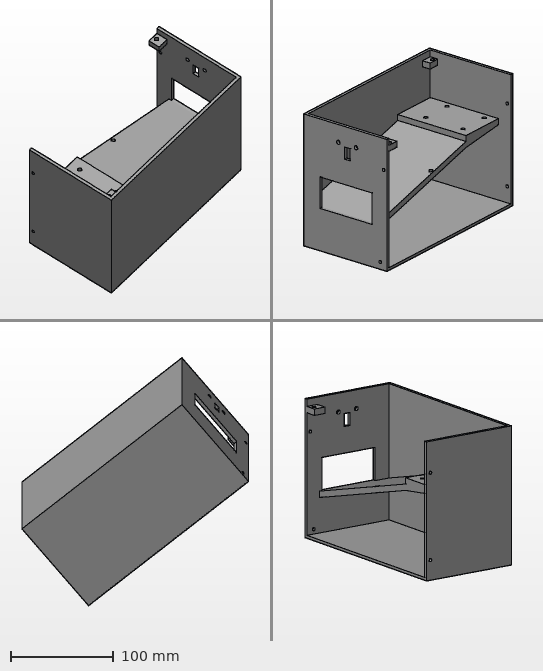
import cadquery as cq
import math

WIDTH = 102.2
LENGTH = 201.2
HEIGHT = 140.0
WALL = 3.5
FLOOR = 3.0
INNER_BACK = LENGTH - WALL
INNER_SIDE = WIDTH - WALL

SHELF_START = 15.0
PLATFORM_TOP = 89.5
PLATFORM_END = 55.3
STEP = 6.2
SHELF_THICKNESS = 6.5
RAMP_ANGLE = 15.0
RAMP_DROP = (INNER_BACK - PLATFORM_END) * math.tan(math.radians(RAMP_ANGLE))
RAMP_HIGH = PLATFORM_TOP - STEP
RAMP_LOW = RAMP_HIGH - RAMP_DROP

SCREW_DIAMETER = 4.0
PIN_DIAMETER = 3.0
PLATFORM_HOLE_X = (27.2, 72.8)
PLATFORM_HOLE_Y = (10.5, 44.3)
RAMP_HOLE_X = (18.5, 74.6)
RAMP_HOLE_Y = 107.0
FRONT_PINS = ((4.6, 108.2), (4.6, 20.3))
BACK_PINS = ((4.2, 106.6), (8.5, 7.8))
BACK_SCREWS = ((38.0, 121.1), (59.5, 121.1))

LUG_TOP = 132.8
LUG_HEIGHT = 6.5
LUG_LENGTH = 12.3
BACK_LUG_WIDTH = 12.7
FRONT_LUG_WIDTH = 9.3
BACK_LUG_HOLE = (4.2, 192.0)
FRONT_LUG_HOLE = (93.0, 7.5)

WINDOW_X = (18.3, 82.0)
WINDOW_Z = (RAMP_LOW, 78.5)
SLOT_X = (45.0, 51.7)
SLOT_Z = (105.5, 118.3)


def block(x_range, y_range, z_range):
    """Box spanning the given (low, high) ranges."""
    sizes = [high - low for low, high in (x_range, y_range, z_range)]
    corner = (x_range[0], y_range[0], z_range[0])
    return cq.Workplane("XY").box(*sizes, centered=False).translate(corner)


def wall_holes(wall_front, places, diameter):
    """Cutters through a front or back wall at the (x, z) places."""
    plane = cq.Workplane("XZ", origin=(0, wall_front, 0))
    return plane.pushPoints(places).circle(diameter / 2).extrude(-WALL)


def shell():
    outer = block((0, WIDTH), (0, LENGTH), (0, HEIGHT))
    inner = block((0, INNER_SIDE), (WALL, INNER_BACK), (FLOOR, HEIGHT))
    return outer.cut(inner)


def shelf():
    profile = [
        (WALL, PLATFORM_TOP),
        (PLATFORM_END, PLATFORM_TOP),
        (PLATFORM_END, RAMP_HIGH),
        (INNER_BACK, RAMP_LOW),
        (INNER_BACK, RAMP_LOW - SHELF_THICKNESS),
        (PLATFORM_END, RAMP_HIGH - SHELF_THICKNESS),
        (WALL, PLATFORM_TOP - SHELF_THICKNESS),
    ]
    plane = cq.Workplane("YZ", origin=(SHELF_START, 0, 0))
    body = plane.polyline(profile).close().extrude(INNER_SIDE - SHELF_START)

    places = [(x, y) for x in PLATFORM_HOLE_X for y in PLATFORM_HOLE_Y]
    upright = cq.Workplane("XY", origin=(0, 0, RAMP_LOW))
    body = body.cut(upright.pushPoints(places).circle(SCREW_DIAMETER / 2).extrude(HEIGHT - RAMP_LOW))

    slope = math.radians(RAMP_ANGLE)
    hole_z = RAMP_HIGH - (RAMP_HOLE_Y - PLATFORM_END) * math.tan(slope)
    ramp_plane = cq.Plane(
        origin=(0, RAMP_HOLE_Y, hole_z), xDir=(1, 0, 0), normal=(0, math.sin(slope), math.cos(slope))
    )
    ramp_places = [(x, 0) for x in RAMP_HOLE_X]
    square = cq.Workplane(ramp_plane).pushPoints(ramp_places).circle(SCREW_DIAMETER / 2)
    return body.cut(square.extrude(SHELF_THICKNESS, both=True))


def lug(x_range, y_range, hole_place):
    bottom = LUG_TOP - LUG_HEIGHT
    body = block(x_range, y_range, (bottom, LUG_TOP))
    bore = cq.Workplane("XY", origin=(*hole_place, bottom)).circle(SCREW_DIAMETER / 2).extrude(LUG_HEIGHT)
    return body.cut(bore)


back_lug = lug((0, BACK_LUG_WIDTH), (INNER_BACK - LUG_LENGTH, INNER_BACK), BACK_LUG_HOLE)
front_lug = lug((INNER_SIDE - FRONT_LUG_WIDTH, INNER_SIDE), (WALL, WALL + LUG_LENGTH), FRONT_LUG_HOLE)

result = shell().union(shelf()).union(back_lug).union(front_lug)

result = result.cut(wall_holes(0, FRONT_PINS, PIN_DIAMETER))
result = result.cut(wall_holes(INNER_BACK, BACK_PINS, PIN_DIAMETER))
result = result.cut(wall_holes(INNER_BACK, BACK_SCREWS, SCREW_DIAMETER))
result = result.cut(block(WINDOW_X, (INNER_BACK, LENGTH), WINDOW_Z))
result = result.cut(block(SLOT_X, (INNER_BACK, LENGTH), SLOT_Z))